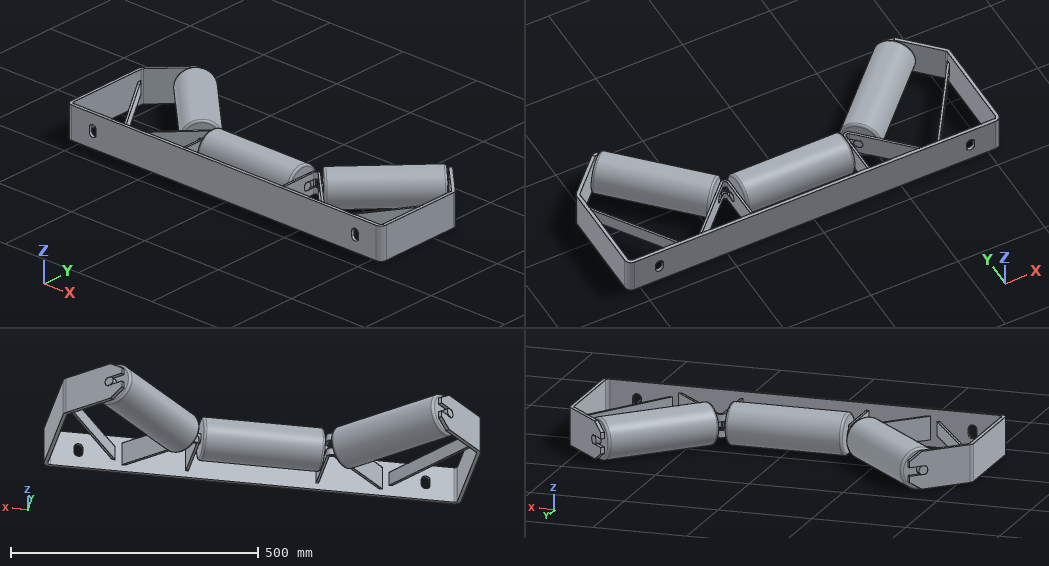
import cadquery as cq
import math


frame_length = 860.0
frame_height = 324.0
bar_width = 80.0
bar_thickness = 8.0
bar_bend_radius = 15.0
arm_bend_y = 224.0
arm_tip_width = 45.0
arm_tip_taper = 27.5
mount_slot_spacing = 715.5
mount_slot_width = 18.0
mount_slot_length = 28.0

trough_angle = 45.0
roller_diameter = 88.9
roller_length = 250.0
roller_fillet = 5.0
shaft_diameter = 20.0
journal_flat_width = 18.0
center_roller_y = 101.5
wing_roller_x = 254.5
wing_roller_y = 205.5

strip_width = 50.0
strip_thickness = 5.0
strip_bend_radius = 10.0
bracket_leg_x = 132.0
bracket_corner_y = 144.9

strut_width = 30.0
strut_foot_x = 282.0
strut_head_y = 218.0

half_length = frame_length / 2
base_top_y = bar_thickness
upright_inner_x = half_length - bar_thickness
trough = math.radians(trough_angle)
wing_axis = cq.Vector(math.cos(trough), math.sin(trough), 0)
wing_center = cq.Vector(wing_roller_x, wing_roller_y, 0)
arm_corner = cq.Vector(half_length, arm_bend_y, 0)
bracket_corner = cq.Vector(bracket_leg_x, bracket_corner_y, 0)
leg_direction = cq.Vector(wing_axis.y, -wing_axis.x, 0)

arm_outer_face = (arm_corner - wing_center).dot(wing_axis)
bracket_wing_face = (wing_center - bracket_corner).dot(wing_axis)


def bent_strip(corners, thickness, width, radius):
    """Flat strip whose outer side follows `corners` counterclockwise, with rounded bends."""
    points = [cq.Vector(*corner) for corner in corners]
    steps = [(end - start).normalized() for start, end in zip(points, points[1:])]
    normals = [cq.Vector(-step.y, step.x, 0) for step in steps]
    inner = [points[0] + normals[0] * thickness]
    for point, before, after in zip(points[1:], normals, normals[1:]):
        inner.append(point + (before + after) * (thickness / (1 + before.dot(after))))
    inner.append(points[-1] + normals[-1] * thickness)

    outline = [point.toTuple()[:2] for point in points + inner[::-1]]
    strip = cq.Workplane("XY").polyline(outline).close().extrude(width / 2, both=True)
    for outer_corner, inner_corner in zip(points[1:-1], inner[1:-1]):
        strip = strip.edges(cq.NearestToPointSelector(outer_corner.toTuple())).fillet(radius)
        strip = strip.edges(cq.NearestToPointSelector(inner_corner.toTuple())).fillet(radius - thickness)
    return strip


def journal_profile(plane, length):
    """Shaft end along the plane normal: a cylinder with two flats facing +Z and -Z."""
    across_flats = cq.Workplane(plane).rect(shaft_diameter, journal_flat_width).extrude(length)
    return cq.Workplane(plane).circle(shaft_diameter / 2).extrude(length).intersect(across_flats)


def journal_slot(center, axis, opening, length, depth):
    """Cutter for a slot along `axis`, fitting a journal at `center` and running `length` to its mouth."""
    plane = cq.Plane(origin=center.toTuple(), xDir=opening.toTuple(), normal=axis.toTuple())
    passage = cq.Workplane(plane).center(length / 2, 0).rect(length, journal_flat_width).extrude(depth)
    return journal_profile(plane, depth).union(passage)


def mirrored(body):
    return body.mirror("YZ")


def make_frame():
    arm_rise = frame_height - arm_bend_y
    tip = (half_length - arm_rise * math.tan(trough), frame_height)
    right_side = [(half_length, 0), (half_length, arm_bend_y), tip]
    left_side = [(-x, y) for x, y in reversed(right_side)]
    frame = bent_strip(left_side + right_side, bar_thickness, bar_width, bar_bend_radius)

    mount_slots = (
        cq.Workplane("XZ")
        .pushPoints([(-mount_slot_spacing / 2, 0), (mount_slot_spacing / 2, 0)])
        .slot2D(mount_slot_length, mount_slot_width, 90)
        .extrude(-bar_thickness)
    )
    frame = frame.cut(mount_slots)

    cut_depth = 2 * bar_thickness
    cut_start = arm_corner - wing_axis * (1.5 * bar_thickness)
    arm_length = arm_rise / math.cos(trough)
    arm_plane = cq.Plane(origin=cut_start.toTuple(), xDir=(-leg_direction).toTuple(), normal=wing_axis.toTuple())
    for side in (1, -1):
        corner_cut = (
            cq.Workplane(arm_plane)
            .polyline(
                [
                    (arm_length - arm_tip_taper, side * bar_width / 2),
                    (arm_length, side * bar_width / 2),
                    (arm_length, side * arm_tip_width / 2),
                ]
            )
            .close()
            .extrude(cut_depth)
        )
        frame = frame.cut(corner_cut).cut(mirrored(corner_cut))
    slot_start = wing_center + wing_axis * (arm_outer_face - 1.5 * bar_thickness)
    slot = journal_slot(slot_start, wing_axis, -leg_direction, arm_length, cut_depth)
    return frame.cut(slot).cut(mirrored(slot))


def make_bracket():
    """Right bracket: a straight leg and a sloping leg, slotted through the bend for two journals."""
    sloping_length = bracket_corner_y / math.sin(trough)
    foot = bracket_corner + leg_direction * sloping_length
    corners = [(foot.x, foot.y), (bracket_leg_x, bracket_corner_y), (bracket_leg_x, 0)]
    bracket = bent_strip(corners, strip_thickness, strip_width, strip_bend_radius)
    below_base = cq.Workplane("XY").box(frame_length, 2 * base_top_y, bar_width)
    bracket = bracket.cut(below_base)

    center_slot = journal_slot(
        cq.Vector(bracket_leg_x, center_roller_y, 0),
        cq.Vector(1, 0, 0),
        cq.Vector(0, 1, 0),
        bracket_corner_y - center_roller_y,
        strip_thickness,
    )
    wing_slot_center = wing_center - wing_axis * bracket_wing_face
    wing_slot = journal_slot(
        wing_slot_center,
        -wing_axis,
        -leg_direction,
        (wing_slot_center - bracket_corner).Length,
        strip_bend_radius,
    )
    return bracket.cut(center_slot).cut(wing_slot)


def make_strut():
    slope = math.atan2(strut_head_y - base_top_y, upright_inner_x - strut_foot_x)
    outline = [
        (strut_foot_x, base_top_y),
        (strut_foot_x + strip_thickness / math.sin(slope), base_top_y),
        (upright_inner_x, strut_head_y - strip_thickness / math.cos(slope)),
        (upright_inner_x, strut_head_y),
    ]
    return cq.Workplane("XY").polyline(outline).close().extrude(strut_width / 2, both=True)


def make_roller(center, axis, faces, tips):
    """Roller with its shaft; `faces` are where the round shaft ends and `tips` where the flats end."""
    across = cq.Vector(0, 0, 1).cross(axis)

    def plane_at(distance, direction):
        origin = center + axis * distance
        return cq.Plane(origin=origin.toTuple(), xDir=across.toTuple(), normal=direction.toTuple())

    shell = cq.Workplane(plane_at(-roller_length / 2, axis)).circle(roller_diameter / 2).extrude(roller_length)
    shell = shell.edges("%CIRCLE").fillet(roller_fillet)
    start_face, end_face = faces
    start_tip, end_tip = tips
    shaft = cq.Workplane(plane_at(-start_face, axis)).circle(shaft_diameter / 2).extrude(start_face + end_face)
    start_journal = journal_profile(plane_at(-start_face, -axis), start_tip - start_face)
    end_journal = journal_profile(plane_at(end_face, axis), end_tip - end_face)
    return shell.union(shaft).union(start_journal).union(end_journal)


frame = make_frame()
bracket = make_bracket()
strut = make_strut()
leg_back_face = bracket_leg_x + strip_thickness
center_roller = make_roller(
    cq.Vector(0, center_roller_y, 0),
    cq.Vector(1, 0, 0),
    (bracket_leg_x, bracket_leg_x),
    (leg_back_face, leg_back_face),
)
wing_roller = make_roller(
    wing_center,
    wing_axis,
    (bracket_wing_face, arm_outer_face - bar_thickness),
    (bracket_wing_face + strip_thickness, arm_outer_face),
)

bodies = [frame, center_roller]
for body in (bracket, strut, wing_roller):
    bodies += [body, mirrored(body)]

result = cq.Compound.makeCompound([body.val() for body in bodies])